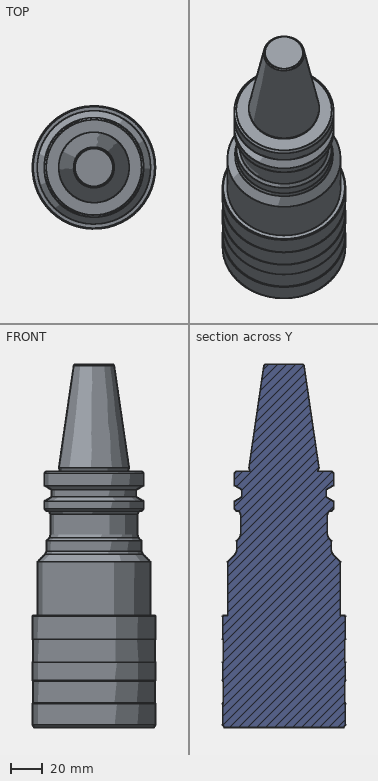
import cadquery as cq
import math

total_height = 230.0

nut_diameter = 78.0
ring_radius = nut_diameter / 2
ring_edge = 0.57
ring_groove_depth = 0.35
ring_groove_radius = ring_radius - ring_groove_depth
base_chamfer_width = 1.1
base_chamfer_height = 1.8
lower_ring_top = 15.6
middle_ring_bottom = 29.5
middle_ring_top = 41.4
upper_ring_bottom = 55.9
upper_ring_top = 71.0

body_radius = 35.9
body_top = 104.8
shoulder_radius = 31.0
shoulder_top = body_top + body_radius - shoulder_radius
collar_radius = 30.1
collar_bottom = 111.7
collar_top = 118.2
collar_cone_radius = 28.3
collar_cone_top = collar_top + collar_radius - collar_cone_radius
neck_radius = 27.5
neck_bottom = 122.3
neck_top = 135.0

flange_radius = 31.5
flange_bottom = 137.0
flange_top = 162.3
flange_chamfer = 1.4
flange_root_radius = 28.7
v_groove_radius = 27.0
v_groove_lower_edge = 143.2
v_groove_upper_edge = 153.0
v_groove_wall_rise = (flange_radius - v_groove_radius) * math.tan(math.radians(30))

shank_foot_radius = 21.5
shank_bottom = 164.4
shank_base_radius = 22.3
shank_top_radius = 12.9
shank_tip_chamfer = 1.0

nut_outline = [
    (ring_radius - base_chamfer_width, 0),
    (ring_radius, base_chamfer_height),
    (ring_radius, lower_ring_top - ring_edge),
    (ring_groove_radius, lower_ring_top),
    (ring_groove_radius, middle_ring_bottom),
    (ring_radius, middle_ring_bottom + ring_edge),
    (ring_radius, middle_ring_top),
    (ring_groove_radius, middle_ring_top),
    (ring_groove_radius, upper_ring_bottom),
    (ring_radius, upper_ring_bottom),
    (ring_radius, upper_ring_top - ring_edge),
    (ring_radius - ring_edge, upper_ring_top),
]
body_outline = [
    (body_radius, upper_ring_top),
    (body_radius, body_top),
    (shoulder_radius, shoulder_top),
    (collar_radius, collar_bottom),
    (collar_radius, collar_top),
    (collar_cone_radius, collar_cone_top),
    (neck_radius, neck_bottom),
    (neck_radius, neck_top),
]
flange_outline = [
    (flange_root_radius, flange_bottom),
    (flange_radius - flange_chamfer, flange_bottom),
    (flange_radius, flange_bottom + flange_chamfer),
    (flange_radius, v_groove_lower_edge),
    (v_groove_radius, v_groove_lower_edge + v_groove_wall_rise),
    (v_groove_radius, v_groove_upper_edge - v_groove_wall_rise),
    (flange_radius, v_groove_upper_edge),
    (flange_radius, flange_top - flange_chamfer),
    (flange_radius - flange_chamfer, flange_top),
]
shank_outline = [
    (shank_foot_radius, flange_top),
    (shank_base_radius, shank_bottom),
    (shank_top_radius, total_height - shank_tip_chamfer),
    (shank_top_radius - shank_tip_chamfer, total_height),
]

half_outline = nut_outline + body_outline + flange_outline + shank_outline
result = (
    cq.Workplane("XZ")
    .polyline([(0, 0)] + half_outline + [(0, total_height)])
    .close()
    .revolve(360, (0, 0), (0, 1))
)